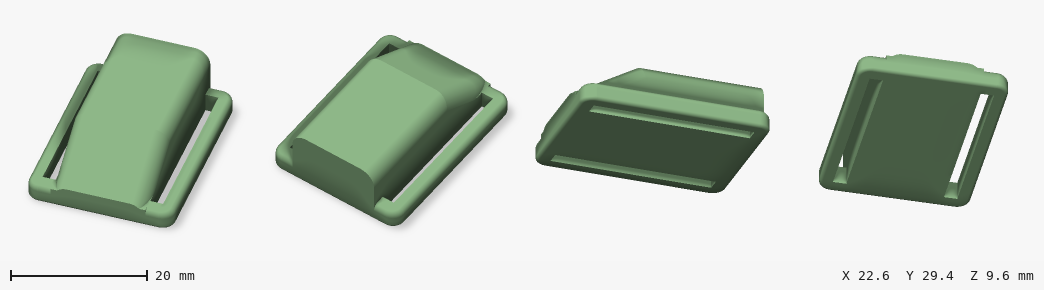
import cadquery as cq
import math

frame_wall = 2.0
slot_width = 2.0
body_width = 14.64
base_width = body_width + 2 * (slot_width + frame_wall)
length = 29.41
base_height = 3.0
corner_radius = 2.0
top_edge_radius = 1.0
bottom_edge_radius = 0.5

end_wall = 2.2
slot_length = length - 2 * end_wall
slot_offset = (body_width + slot_width) / 2

total_height = 9.6
body_edge_radius = 2.5
nose_height = 3.6
slope_angle = math.radians(30)

front_y = -length / 2
back_y = length / 2
ridge_y = front_y + (total_height - nose_height) / math.tan(slope_angle)
slope_foot_y = ridge_y - total_height / math.tan(slope_angle)


def make_base():
    """Rounded plate with softened top and bottom rims."""
    plate = cq.Workplane("XY").box(base_width, length, base_height, centered=(True, True, False))
    plate = plate.edges("|Z").fillet(corner_radius)
    plate = plate.faces(">Z").edges().fillet(top_edge_radius)
    return plate.faces("<Z").edges().fillet(bottom_edge_radius)


def make_slots():
    """Two rectangular through slots, one along each side of the body."""
    return (
        cq.Workplane("XY")
        .pushPoints([(-slot_offset, 0), (slot_offset, 0)])
        .rect(slot_width, slot_length)
        .extrude(base_height)
    )


def make_centre_block(bottom, top):
    """Square-edged block as wide as the body and as long as the part."""
    return (
        cq.Workplane("XY")
        .workplane(offset=bottom)
        .rect(body_width, length)
        .extrude(top - bottom)
    )


def make_body():
    """Raised body with rounded long edges, standing on top of the base.

    The slope first runs on down to the underside of the base, so that its
    rounded edges are full where the nose is trimmed at the front face.
    """
    profile = [
        (slope_foot_y, 0),
        (ridge_y, total_height),
        (back_y, total_height),
        (back_y, 0),
    ]
    body = cq.Workplane("YZ").polyline(profile).close().extrude(body_width / 2, both=True)
    top_edges = body.faces(">Z").edges("|Y").vals()
    slope_edges = body.edges("not(|X or |Y or |Z)").vals()
    body = body.newObject(top_edges + slope_edges).fillet(body_edge_radius)
    return body.intersect(make_centre_block(base_height, total_height))


base = make_base().cut(make_slots())
square_band = make_centre_block(bottom_edge_radius, base_height)
result = base.union(square_band).union(make_body())